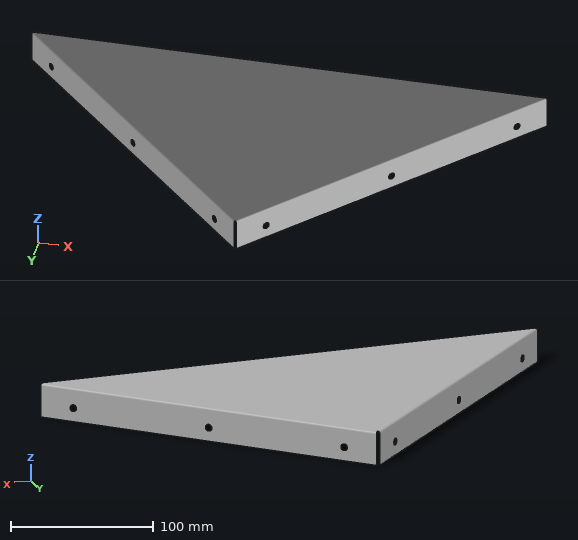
import cadquery as cq
import math

width = 371.0
depth = width / 2
height = 25.0
sheet = 1.0
bend_radius = 2.0
hole_diameter = 5.0
hole_height = 10.0
hole_pitch = 105.0

inner_radius = bend_radius - sheet
bend_offset = bend_radius / math.sqrt(2)
top_half_width = width / 2 - bend_offset
top_depth = depth - bend_offset
leg_length = math.hypot(top_half_width, top_depth)

flange_start = (-width / 2, bend_offset, 0)


def flat_top():
    """Triangular sheet bounded by the bend lines and the open front edge."""
    outline = [(-top_half_width, 0), (top_half_width, 0), (0, top_depth)]
    return (
        cq.Workplane("XY", origin=(0, 0, height - sheet))
        .polyline(outline)
        .close()
        .extrude(sheet)
    )


def left_flange():
    """Square-ended flange with its bend, running along the left leg."""
    section_plane = cq.Plane(
        origin=flange_start, xDir=(1, -1, 0), normal=(-1, -1, 0)
    )
    bend_start = height - bend_radius
    diagonal = math.sqrt(0.5)
    outer_middle = (
        bend_radius - bend_radius * diagonal,
        bend_start + bend_radius * diagonal,
    )
    inner_middle = (
        bend_radius - inner_radius * diagonal,
        bend_start + inner_radius * diagonal,
    )
    return (
        cq.Workplane(section_plane)
        .lineTo(0, bend_start)
        .threePointArc(outer_middle, (bend_radius, height))
        .lineTo(bend_radius, height - sheet)
        .threePointArc(inner_middle, (sheet, bend_start))
        .lineTo(sheet, 0)
        .close()
        .extrude(-leg_length)
    )


def left_holes():
    """Cutters for the row of screw holes, centred along the left flange."""
    face_plane = cq.Plane(
        origin=flange_start, xDir=(1, 1, 0), normal=(1, -1, 0)
    )
    places = [(leg_length / 2 + i * hole_pitch, hole_height) for i in (-1, 0, 1)]
    return (
        cq.Workplane(face_plane)
        .pushPoints(places)
        .circle(hole_diameter / 2)
        .extrude(sheet)
    )


flange = left_flange().cut(left_holes())
result = flat_top().union(flange).union(flange.mirror("YZ"))